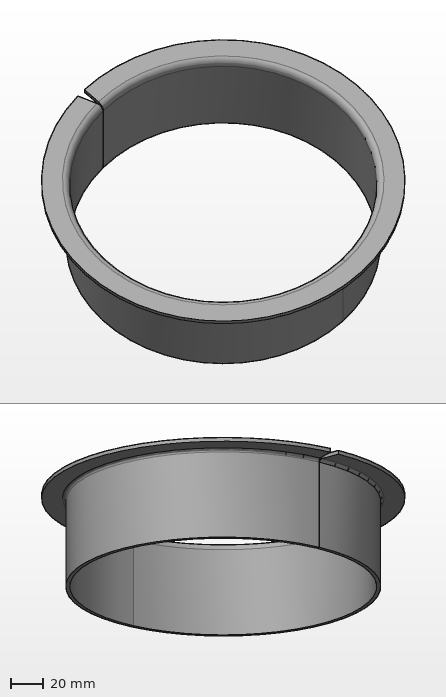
import cadquery as cq
import math

flange_diameter = 225.0
bore_diameter = 190.0
height = 60.0
sheet_thickness = 2.5
inner_bend_radius = 2.0

split_y = -3.1
split_width = 0.6

notch_rim_width = 6.4
notch_rim_y = -3.8
notch_inner_width = 1.6

flange_radius = flange_diameter / 2
bore_radius = bore_diameter / 2
wall_radius = bore_radius + sheet_thickness
outer_bend_radius = inner_bend_radius + sheet_thickness
bend_center_radius = bore_radius + outer_bend_radius
bend_center_z = height - outer_bend_radius
cut_clearance = 1.0


def bend_point(radius):
    """Midpoint (radial, Z) of a quarter bend arc with the given radius."""
    offset = radius * math.sqrt(0.5)
    return bend_center_radius - offset, bend_center_z + offset


def make_collar():
    """Tube wall bent outwards into a flange, revolved about Z."""
    flange_underside = height - sheet_thickness
    return (
        cq.Workplane("XZ")
        .moveTo(bore_radius, 0)
        .lineTo(wall_radius, 0)
        .lineTo(wall_radius, bend_center_z)
        .threePointArc(bend_point(inner_bend_radius), (bend_center_radius, flange_underside))
        .lineTo(flange_radius, flange_underside)
        .lineTo(flange_radius, height)
        .lineTo(bend_center_radius, height)
        .threePointArc(bend_point(outer_bend_radius), (bore_radius, bend_center_z))
        .close()
        .revolve(360, (0, 0, 0), (0, 1, 0))
    )


def make_split():
    """Narrow full-height slot through the -X side of the wall."""
    length = flange_radius - bore_radius + 2 * cut_clearance
    middle_x = -(flange_radius + bore_radius) / 2
    return cq.Workplane("XY").center(middle_x, split_y).rect(length, split_width).extrude(height)


def make_notch():
    """Opening that widens from the split, through the bend, to the flange rim."""
    cutter_end = flange_radius + cut_clearance
    stations = [
        (wall_radius, split_y, split_width),
        (bend_center_radius, split_y, notch_inner_width),
        (flange_radius, notch_rim_y, notch_rim_width),
        (cutter_end, notch_rim_y, notch_rim_width),
    ]
    upper_edge = [(-radius, middle_y + width / 2) for radius, middle_y, width in stations]
    lower_edge = [(-radius, middle_y - width / 2) for radius, middle_y, width in stations]
    outline = upper_edge + lower_edge[::-1]
    return cq.Workplane("XY").polyline(outline).close().extrude(height)


result = make_collar().cut(make_split()).cut(make_notch())